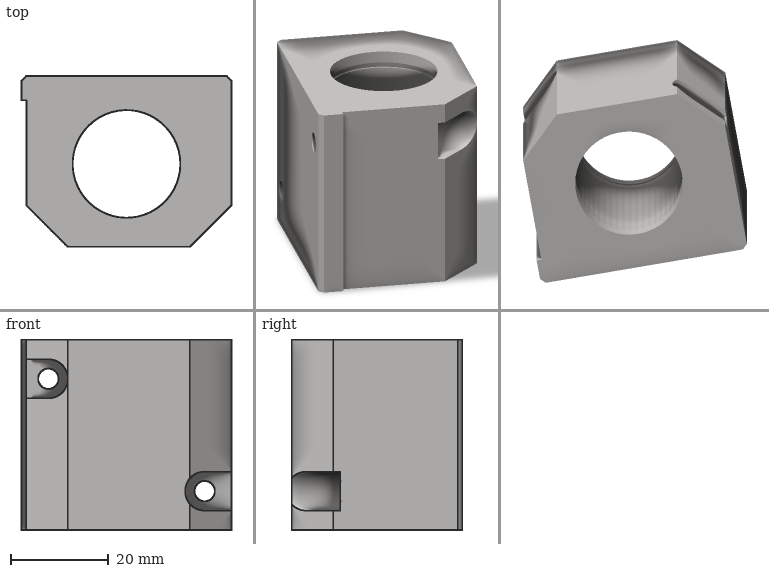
import cadquery as cq

WIDTH = 43.0
DEPTH = 35.0
HEIGHT = 39.0
BORE_TO_BACK = 18.0
FRONT_CHAMFER = 8.5
BACK_CHAMFER = 1.0

LIP_PROJECTION = 1.0
LIP_LENGTH = 5.0

BORE_DIAMETER = 22.0
GROOVE_DIAMETER = 23.0
GROOVE_OFFSET = 2.4
GROOVE_WIDTH = 1.1

HOLE_DIAMETER = 4.13
HOLE_SPACING = 32.0
HOLE_END_DISTANCE = 8.0
POCKET_WIDTH = 8.0
POCKET_DEPTH = 10.0

LEFT = -WIDTH / 2
RIGHT = WIDTH / 2
BACK = BORE_TO_BACK
FRONT = BACK - DEPTH
LEFT_WALL = LEFT + LIP_PROJECTION


def make_block():
    """Extrude the chamfered outline, including the locating lip."""
    outline = [
        (LEFT + BACK_CHAMFER, BACK),
        (RIGHT - BACK_CHAMFER, BACK),
        (RIGHT, BACK - BACK_CHAMFER),
        (RIGHT, FRONT + FRONT_CHAMFER),
        (RIGHT - FRONT_CHAMFER, FRONT),
        (LEFT_WALL + FRONT_CHAMFER, FRONT),
        (LEFT_WALL, FRONT + FRONT_CHAMFER),
        (LEFT_WALL, BACK - LIP_LENGTH),
        (LEFT, BACK - LIP_LENGTH),
        (LEFT, BACK - BACK_CHAMFER),
    ]
    return cq.Workplane("XY").polyline(outline).close().extrude(HEIGHT)


def make_bore():
    """Through bore joined with the wider retaining ring groove."""
    bore = cq.Workplane("XY").circle(BORE_DIAMETER / 2).extrude(HEIGHT)
    groove = (
        cq.Workplane("XY", origin=(0, 0, HEIGHT - GROOVE_OFFSET))
        .circle(GROOVE_DIAMETER / 2)
        .extrude(-GROOVE_WIDTH)
    )
    return bore.union(groove)


def make_mounting_cut(side, z):
    """Hole and pocket; side is -1 for the left hole and +1 for the right."""
    x = side * HOLE_SPACING / 2
    radius = POCKET_WIDTH / 2
    outer_x = side * WIDTH / 2
    front_plane = cq.Workplane("XZ", origin=(0, FRONT, 0))
    pocket = (
        front_plane
        .moveTo(outer_x, z - radius)
        .lineTo(x, z - radius)
        .threePointArc((x - side * radius, z), (x, z + radius))
        .lineTo(outer_x, z + radius)
        .close()
        .extrude(-POCKET_DEPTH)
    )
    hole = front_plane.center(x, z).circle(HOLE_DIAMETER / 2).extrude(-DEPTH)
    return pocket.union(hole)


result = make_block().cut(make_bore())
for side, z in ((-1, HEIGHT - HOLE_END_DISTANCE), (1, HOLE_END_DISTANCE)):
    result = result.cut(make_mounting_cut(side, z))